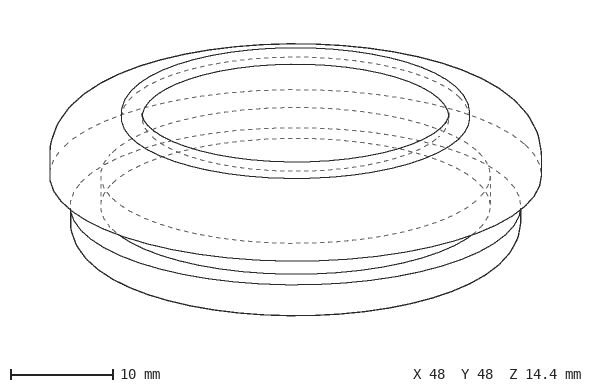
import cadquery as cq

head_radius = 24.0
flange_radius = 22.0
neck_radius = 19.0
rim_radius = 17.0
recess_radius = 15.0

flange_height = 4.0
neck_height = 3.2
head_height = 6.0
rim_height = 1.2
recess_depth = rim_height

head_fillet = 4.0
flange_fillet = 2.5
rim_fillet = 0.75

neck_bottom = flange_height
head_bottom = neck_bottom + neck_height
rim_bottom = head_bottom + head_height
top = rim_bottom + rim_height


def disc(radius, bottom, height):
    """Solid disc centred on the Z axis."""
    return cq.Workplane("XY").workplane(offset=bottom).circle(radius).extrude(height)


flange = disc(flange_radius, 0, flange_height).faces("<Z").edges().fillet(flange_fillet)
neck = disc(neck_radius, neck_bottom, neck_height)

head = disc(head_radius, head_bottom, head_height).faces(">Z").edges().fillet(head_fillet)

rim = disc(rim_radius, rim_bottom, rim_height)
rim = rim.cut(disc(recess_radius, top - recess_depth, recess_depth))
rim = rim.faces(">Z").edges().fillet(rim_fillet)

result = flange.union(neck).union(head).union(rim)